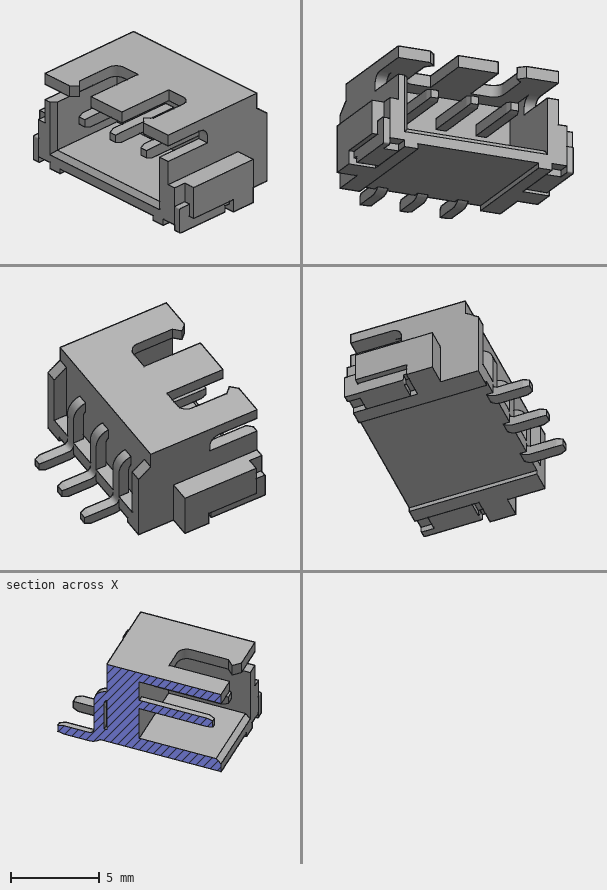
import cadquery as cq


MITRE = 0.3
MITRE_ANGLE = 45.0

BODY_WIDTH = 10.0
BODY_DEPTH = 7.8
BODY_HEIGHT = 6.0
WALL = 0.7
FLOOR_TOP = 1.2
CAVITY_DEPTH = 5.0
CHANNEL_WIDTH = 7.52
CHANNEL_HEIGHT = 0.3
inner_width = BODY_WIDTH - 2 * WALL
roof_bottom = BODY_HEIGHT - WALL

ROOF_DEPTH = 7.0
CHEEK_TOP = 5.0
CHEEK_REAR_TOP = 4.4

WINDOW_DEPTH = 3.1
WINDOW_SILL = 4.3
CORNER_RADIUS = 0.6

SLOT_INNER_X = 1.25
SLOT_OUTER_X = 3.0
SLOT_DEPTH = 3.7
TOOTH = 0.4

OVERALL_WIDTH = 12.5
WING_DEPTH = 5.5
WING_HEIGHT = 2.8

TAB_THICKNESS = 0.4
TAB_INNER_X = 5.52
TAB_DEPTH = 3.92
TAB_LOW_HEIGHT = 0.8
TAB_POST_DEPTH = 0.8
TAB_POST_HEIGHT = 1.6
TAB_HEEL_SETBACK = 0.32
TAB_ROUND = 0.1
FOOT_INNER_X = 4.6
foot_rear = TAB_DEPTH - TAB_HEEL_SETBACK

PIN_COUNT = 3
PIN_PITCH = 2.5
PIN_SIZE = 0.65
PIN_HEIGHT = 3.66
PIN_FRONT = 0.5
PIN_REAR = 10.0
PIN_BEND = 0.3
TIP_LENGTH = 0.35
TIP_SIZE = 0.46


def box(x_range, y_range, z_range):
    """Box between three pairs of limits."""
    limits = (x_range, y_range, z_range)
    sizes = [high - low for low, high in limits]
    lows = [low for low, high in limits]
    return cq.Workplane("XY").box(*sizes, centered=False).translate(tuple(lows))


def side_plate(outline, x_low, x_high):
    """Solid between two X planes from a closed outline drawn in (Y, Z)."""
    return outline.extrude(x_high - x_low).translate((x_low, 0, 0))


def both_sides(shape):
    """The shape together with its mirror image across X = 0."""
    return shape.union(shape.mirror("YZ"))


def make_shell():
    """Outer block with its stepped back, before any opening is cut."""
    half = BODY_WIDTH / 2
    outline = (
        cq.Workplane("YZ")
        .polyline([
            (0, 0),
            (BODY_DEPTH, 0),
            (BODY_DEPTH, CHEEK_REAR_TOP),
            (ROOF_DEPTH, CHEEK_TOP),
            (ROOF_DEPTH, BODY_HEIGHT),
            (0, BODY_HEIGHT),
        ])
        .close()
    )
    shell = side_plate(outline, -half, half)
    wing = box((half, OVERALL_WIDTH / 2), (0, WING_DEPTH), (0, WING_HEIGHT))
    return shell.union(both_sides(wing))


def cut_cavity(housing):
    """Mating cavity, with the lead-in chamfers on its floor and its -X wall."""
    half = inner_width / 2
    cavity = box((-half, half), (0, CAVITY_DEPTH), (FLOOR_TOP, roof_bottom))
    funnel = (
        cq.Workplane("XZ")
        .polyline([
            (-half - MITRE, FLOOR_TOP - MITRE),
            (half + MITRE, FLOOR_TOP - MITRE),
            (half + MITRE, roof_bottom + MITRE),
            (-half - MITRE, roof_bottom + MITRE),
        ])
        .close()
        .extrude(-MITRE, taper=MITRE_ANGLE)
    )
    lead_in = funnel.intersect(box((-BODY_WIDTH / 2, half), (0, MITRE), (0, WINDOW_SILL)))
    return housing.cut(cavity).cut(lead_in)


def cut_windows(housing):
    """Window through both side walls, open at the mating face."""
    half = BODY_WIDTH / 2
    window = box((-half, half), (0, WINDOW_DEPTH), (WINDOW_SILL, roof_bottom))
    return housing.cut(window.edges("|X and >Y and >Z").fillet(CORNER_RADIUS))


def cut_roof_slots(housing):
    """Two slots in the roof, mirrored, narrowed by a tooth at the mouth."""
    slot = (
        cq.Workplane("XY", origin=(0, 0, roof_bottom))
        .moveTo(SLOT_INNER_X, 0)
        .lineTo(SLOT_OUTER_X, 0)
        .lineTo(SLOT_OUTER_X - TOOTH, TOOTH)
        .lineTo(SLOT_OUTER_X, 2 * TOOTH)
        .lineTo(SLOT_OUTER_X, SLOT_DEPTH - CORNER_RADIUS)
        .radiusArc((SLOT_OUTER_X - CORNER_RADIUS, SLOT_DEPTH), -CORNER_RADIUS)
        .lineTo(SLOT_INNER_X, SLOT_DEPTH)
        .close()
        .extrude(WALL)
    )
    return housing.cut(both_sides(slot))


def cut_back_and_base(housing):
    """Bay between the rear cheeks, and the channel under the floor."""
    half_bay = inner_width / 2
    half_channel = CHANNEL_WIDTH / 2
    bay = box((-half_bay, half_bay), (ROOF_DEPTH, BODY_DEPTH), (FLOOR_TOP, BODY_HEIGHT))
    channel = box((-half_channel, half_channel), (0, BODY_DEPTH), (0, CHANNEL_HEIGHT))
    return housing.cut(bay).cut(channel)


def cut_tab_seats(housing):
    """Seat for a solder tab in each wing, and the recess for its foot."""
    outer = OVERALL_WIDTH / 2
    low_seat = box((TAB_INNER_X, outer), (0, TAB_DEPTH), (0, TAB_LOW_HEIGHT))
    post_seat = box((TAB_INNER_X, outer), (0, TAB_POST_DEPTH), (0, WING_HEIGHT))
    foot_recess = box((FOOT_INNER_X, TAB_INNER_X), (0, TAB_DEPTH), (0, TAB_THICKNESS))
    return housing.cut(both_sides(low_seat.union(post_seat).union(foot_recess)))


def make_pin_tip(y, direction, z):
    """Tapered square end that starts at y and points along +Y or -Y."""
    base = cq.Workplane("XZ", origin=(0, y, z)).rect(PIN_SIZE, PIN_SIZE)
    tip = base.workplane(offset=-direction * TIP_LENGTH).rect(TIP_SIZE, TIP_SIZE)
    return tip.loft(ruled=True)


def make_pin():
    """Square pin that bends down behind the housing and back along the board."""
    upper_top = PIN_HEIGHT + PIN_SIZE / 2
    upper_bottom = PIN_HEIGHT - PIN_SIZE / 2
    drop_rear = BODY_DEPTH
    drop_front = drop_rear - PIN_SIZE
    outer_bend = PIN_BEND + PIN_SIZE
    shank_front = PIN_FRONT + TIP_LENGTH
    shank_rear = PIN_REAR - TIP_LENGTH
    outline = (
        cq.Workplane("YZ")
        .moveTo(shank_front, upper_bottom)
        .lineTo(shank_front, upper_top)
        .lineTo(drop_rear - outer_bend, upper_top)
        .radiusArc((drop_rear, upper_top - outer_bend), outer_bend)
        .lineTo(drop_rear, PIN_SIZE + PIN_BEND)
        .radiusArc((drop_rear + PIN_BEND, PIN_SIZE), -PIN_BEND)
        .lineTo(shank_rear, PIN_SIZE)
        .lineTo(shank_rear, 0)
        .lineTo(drop_front + outer_bend, 0)
        .radiusArc((drop_front, outer_bend), outer_bend)
        .lineTo(drop_front, upper_bottom - PIN_BEND)
        .radiusArc((drop_front - PIN_BEND, upper_bottom), -PIN_BEND)
        .close()
    )
    shank = side_plate(outline, -PIN_SIZE / 2, PIN_SIZE / 2)
    front_tip = make_pin_tip(shank_front, -1, PIN_HEIGHT)
    rear_tip = make_pin_tip(shank_rear, 1, PIN_SIZE / 2)
    return shank.union(front_tip).union(rear_tip)


def make_housing():
    """Housing with its pins moulded in as one solid."""
    housing = cut_cavity(make_shell())
    housing = cut_windows(housing)
    housing = cut_roof_slots(housing)
    housing = cut_back_and_base(housing)
    housing = cut_tab_seats(housing)
    pin = make_pin()
    for index in range(PIN_COUNT):
        x = (index - (PIN_COUNT - 1) / 2) * PIN_PITCH
        housing = housing.union(pin.translate((x, 0, 0)))
    return housing


def make_solder_tab(side):
    """L-shaped upright plate with an inward foot; side is +1 or -1 along X."""
    outline = (
        cq.Workplane("YZ")
        .polyline([
            (0, 0),
            (foot_rear, 0),
            (foot_rear, TAB_THICKNESS),
            (TAB_DEPTH, TAB_THICKNESS),
            (TAB_DEPTH, TAB_LOW_HEIGHT),
            (TAB_POST_DEPTH, TAB_LOW_HEIGHT),
            (TAB_POST_DEPTH, TAB_POST_HEIGHT),
            (0, TAB_POST_HEIGHT),
        ])
        .close()
    )
    plate = side_plate(outline, TAB_INNER_X, TAB_INNER_X + TAB_THICKNESS)
    plate = plate.edges("|X and <Y").fillet(TAB_ROUND)
    plate = plate.edges("|X and <Z").edges(">Y").fillet(TAB_ROUND)
    foot = box(
        (FOOT_INNER_X, TAB_INNER_X),
        (TAB_POST_DEPTH, foot_rear - TAB_ROUND),
        (0, TAB_THICKNESS),
    )
    tab = plate.union(foot)
    return tab if side > 0 else tab.mirror("YZ")


housing = make_housing()
solder_tabs = [make_solder_tab(side) for side in (-1, 1)]

result = cq.Compound.makeCompound([housing.val(), *[tab.val() for tab in solder_tabs]])